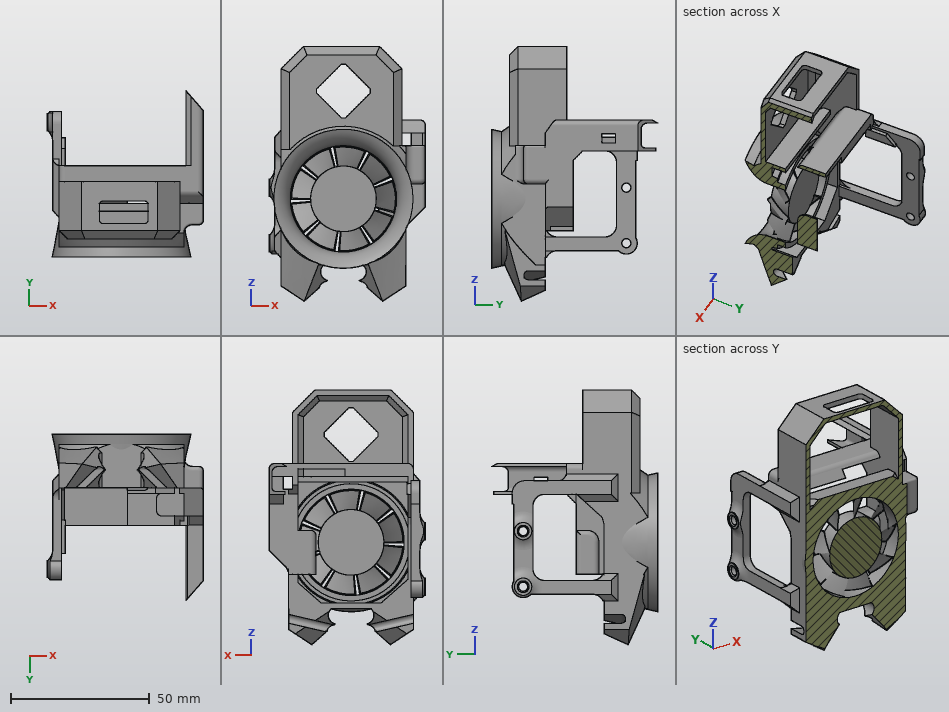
import cadquery as cq
import math


LEFT = -22.5
RIGHT = 22.6
SHROUD_RIGHT = 21.1
SHROUD_TOP = 55.0
SHROUD_FRONT = 6.4
SHROUD_BACK = 27.2
SHROUD_BOTTOM = 17.7
CORNER_CUT = 8.1
FRONT_BEVEL = 3.1
WALL = 2.0
BOX_BACK = 33.0
BOX_TOP = 28.5
BOX_BOTTOM = -23.9
LOWER_BACK = 19.4
WALL_STRAIGHT_TOP = 6.4
WALL_SLOPE_LOW = (20.1, 9.0)
WALL_SLOPE_HIGH = (BOX_BACK, 20.7)
RIGHT_WALL_TOP = 19.2
BEAM_FRONT = 19.3
BEAM_BOTTOM = 23.7
BEAM_BROW = (21.8, 27.1)
BEAM_CURVE = (22.4, 27.9)
BEAM_TOP_FRONT = 23.5
NOTCH_LEFT = 2.1
TOP_ROUND = 2.3
FRONT_WALL_BACK = 11.0

DIAMOND_Z = 38.9
DIAMOND_REACH = 9.65
DIAMOND_FLAT = 0.7
SLOT_LEFT = -8.0
SLOT_RIGHT = 9.65
SLOT_FRONT = 12.0
SLOT_BACK = 20.2
SLOT_ROUND = 1.5

RIM_RADIUS = 25.1
NECK_RADIUS = 24.3
NECK_Y = 3.7
SKIRT_RADIUS = 22.4
SKIRT_Y = 13.3
SKIRT_FLARE = 0.7
BORE_RADIUS = 38.2 / 2
BORE_FRONT = 9.1
TUBE_RADIUS = BORE_RADIUS + WALL
TUBE_BACK = 16.5

HUB_RADIUS = 11.9
BLADE_TIP_RADIUS = 18.75
BLADE_ROOT_RADIUS = 10.9
BLADE_COUNT = 9
BLADE_ANGLE = 1.5
BLADE_SWEEP = 34.8
BLADE_START = 20.0
ROTOR_DEPTH = 7.35

LEG_BEND_Z = -11.6
LEG_SHOULDER = (LEFT, 4.9, LEG_BEND_Z)
LEG_OUTER = (LEFT, 10.4, -31.4)
LEG_TIP = (-14.15, 10.75, -36.9)
LEG_CREASE = (-8.9, 4.6, -23.5)
LEG_INNER = (-5.7, 12.9, -29.4)
LEG_MIDDLE = (-14.7, 15.6, -26.65)
LEG_HOLLOW = (-8.2, -26.1)
LEG_HOLLOW_TOP = (-7.1, BOX_BOTTOM)
LEG_HEEL = (-20.1, LOWER_BACK, -33.0)
TIE_SLOT_FRONT = 11.7
TIE_SLOT_HEIGHT = 3.1
TIE_SLOT_Z = -27.6
TIE_SLOT_TILT = 13.0

FRAME_OUTER_X = -24.8
FRAME_INNER_X = -21.6
FRAME_BACK = 52.6
POST_BACK = 52.0
POST_FRONT = 45.0
UPPER_BAR = (17.3, 22.2)
LOWER_BAR = (-18.75, -13.7)
BAR_FRONT = 16.8
BAR_FLARE = 2.5
FLARE_BACK = 36.8
LOWER_COVE_BACK = 23.5
LOWER_COVE_HEIGHT = 4.6
LOWER_COVE_UNDER = (20.6, -20.0)
LOWER_COVE_OVER = (20.6, -12.4)
UPPER_COVE_BACK = 35.3
UPPER_COVE_MIDDLE = (33.6, 23.4)
CORNER_STEP_Z = 13.8
FRAME_ROUND = 4.6
WINDOW_ROUND = 4.1
RIB_INNER_X = -20.2
RIB_TOP = 21.1
RIB_BACK = 43.1
RIB_SLOPE_START = 39.15

BOSS_Y = 48.6
BOSS_ZS = (4.0, -16.0)
BOSS_FACE_X = -26.8
BOSS_RADIUS = 3.1
BOSS_FOOT_RADIUS = 7.0
BOSS_FOOT_CURVE = (-25.3, 4.9)
BOSS_NECK_X = -26.5
BOSS_HOLE = 3.2
BOSS_COUNTERSINK = 4.2
CORNER_PAD_RADIUS = 3.95

RAIL_RIGHT = 29.6
RAIL_LIP_X = 23.25
RAIL_LIP_TOP_X = 25.1
RAIL_LIP_BOTTOM = 27.3
RAIL_FLOOR_LIP_X = 23.9
RAIL_TIP_Y = 60.0
RAIL_END_Y = 52.75
RAIL_WEB_X = 28.5
RAIL_BOTTOM = 17.2
RAIL_FLOOR = 18.4
RAIL_ROUND = 2.1
RAIL_FLOOR_ROUND = 1.3
RAIL_ROOF_ROUND = 2.0
RAIL_WINDOW_Y = (39.8, 44.7)
RAIL_WINDOW_Z = (20.2, 23.4)
ARM_BACK = 29.5
ARM_INNER_X = 12.7
ARM_STEP_Z = 4.3
ARM_BOTTOM = -11.6
ARM_CUT_Z = -2.9
BRACKET_FRONT = 11.6
BRACKET_BOTTOM = 5.3
BRACKET_SWEEP = 2.9
BRACKET_EDGE_ROUND = 1.8
BRACKET_TOP_ROUND = 0.7
BRACKET_BOTTOM_ROUND = 1.7
ARM_ROUND = 1.3
WEB_X = 24.4
TONGUE_FRONT = 21.3
TONGUE_TOP_ROUND = 4.1
TONGUE_EDGE_ROUND = 1.8
GUSSET_SIZE = 3.3


def block(x_range, y_range, z_range):
    """Box between the given limits."""
    size = [high - low for low, high in (x_range, y_range, z_range)]
    return cq.Workplane("XY").box(*size, centered=False).translate((x_range[0], y_range[0], z_range[0]))


def prism_y(points, y_from, y_to):
    """Outline of (x, z) points extruded along Y."""
    outline = cq.Workplane("XZ", origin=(0, y_from, 0)).polyline(points).close()
    return outline.extrude(y_from - y_to)


def prism_x(points, x_from, x_to):
    """Outline of (y, z) points extruded along X."""
    outline = cq.Workplane("YZ", origin=(x_from, 0, 0)).polyline(points).close()
    return outline.extrude(x_to - x_from)


def cylinder_y(radius, y_from, y_to):
    return cq.Workplane("XZ", origin=(0, y_from, 0)).circle(radius).extrude(y_from - y_to)


def cut_outside(body, a, b, c, inside):
    """Remove what lies beyond the plane through a, b and c, on the side away from `inside`."""
    origin = cq.Vector(*a)
    along = cq.Vector(*b) - origin
    normal = along.cross(cq.Vector(*c) - origin)
    if normal.dot(cq.Vector(*inside) - origin) > 0:
        normal = normal * -1
    far = 91.9
    beyond = cq.Workplane(cq.Plane(origin, along, normal)).rect(2 * far, 2 * far).extrude(far)
    return body.cut(beyond)


def shroud_outline(inset, bottom):
    left, right, top = LEFT + inset, SHROUD_RIGHT - inset, SHROUD_TOP - inset
    cut = CORNER_CUT - inset * (2 - math.sqrt(2))
    return [
        (left, bottom),
        (left, top - cut),
        (left + cut, top),
        (right - cut, top),
        (right, top - cut),
        (right, bottom),
    ]


def make_shroud():
    """Five-sided hood, open at the back, with a bevelled front edge, a diamond window and a top slot."""
    hood = prism_y(shroud_outline(0, BOX_BOTTOM), SHROUD_FRONT, SHROUD_BACK)
    hood = hood.faces("<Y").edges("not <Z").chamfer(FRONT_BEVEL)
    hood = hood.intersect(block((LEFT, RIGHT), (0, BOX_BACK), (SHROUD_BOTTOM, SHROUD_TOP)))
    hollow = prism_y(shroud_outline(WALL, BOX_BOTTOM), SHROUD_FRONT + WALL, SHROUD_BACK)
    hollow = hollow.faces("<Y").edges("not <Z").chamfer(FRONT_BEVEL - WALL * (2 - math.sqrt(2)))
    hollow = hollow.intersect(hood)
    corner_points = []
    for x_sign, z_sign in ((1, 1), (-1, 1), (-1, -1), (1, -1)):
        side = (x_sign * DIAMOND_REACH, DIAMOND_Z + z_sign * DIAMOND_FLAT)
        end = (x_sign * DIAMOND_FLAT, DIAMOND_Z + z_sign * DIAMOND_REACH)
        corner_points += [side, end] if x_sign == z_sign else [end, side]
    diamond = prism_y(corner_points, 0, SHROUD_BACK)
    slot = block((SLOT_LEFT, SLOT_RIGHT), (SLOT_FRONT, SLOT_BACK), (DIAMOND_Z, SHROUD_TOP))
    slot = slot.edges("|Z").fillet(SLOT_ROUND)
    return hood.cut(hollow).cut(diamond).cut(slot)


def make_beam_front(x_from, x_to):
    """Front of the top beam: a leaning face that rounds over into the flat top."""
    side = (
        cq.Workplane("YZ", origin=(x_from, 0, 0))
        .moveTo(BEAM_TOP_FRONT, BEAM_BOTTOM)
        .lineTo(BEAM_FRONT, BEAM_BOTTOM)
        .lineTo(*BEAM_BROW)
        .threePointArc(BEAM_CURVE, (BEAM_TOP_FRONT, BOX_TOP))
        .close()
    )
    return side.extrude(x_to - x_from)


def make_box():
    """Open-backed box behind the fan, its side walls stepped back below, with a beam across the top."""
    side = [
        (NECK_Y, BOX_BOTTOM),
        (LOWER_BACK, BOX_BOTTOM),
        (LOWER_BACK, WALL_STRAIGHT_TOP),
        WALL_SLOPE_LOW,
        WALL_SLOPE_HIGH,
        (BOX_BACK, BOX_TOP),
        (NECK_Y, BOX_TOP),
    ]
    box = prism_x(side, LEFT, RIGHT)
    box = box.edges("|Y and >Z and <X").fillet(TOP_ROUND)
    inner_x = (LEFT + WALL, SHROUD_RIGHT - WALL)
    below_floor = block(inner_x, (FRONT_WALL_BACK, TUBE_BACK), (BOX_BOTTOM + WALL, BEAM_BOTTOM - WALL))
    behind_floor = block(inner_x, (TUBE_BACK, BOX_BACK), (BOX_BOTTOM + WALL, BEAM_BOTTOM))
    above_floor = block(inner_x, (SHROUD_FRONT, BEAM_TOP_FRONT), (BEAM_BOTTOM, BOX_TOP))
    right_notch = block((SHROUD_RIGHT, RIGHT), (NECK_Y, BOX_BACK), (RIGHT_WALL_TOP, BOX_TOP))
    box = box.cut(below_floor).cut(behind_floor).cut(above_floor).cut(right_notch)
    box = box.union(make_beam_front(inner_x[0], SHROUD_RIGHT))
    under_beam = block((NOTCH_LEFT, inner_x[1]), (TUBE_BACK, BOX_BACK), (BEAM_BOTTOM, BOX_TOP - WALL))
    box = box.cut(under_beam)
    flare_radius = NECK_RADIUS + SKIRT_FLARE * (BOX_BACK - NECK_Y)
    front_cone = (
        cq.Workplane("XY")
        .polyline([(0, NECK_Y), (NECK_RADIUS, NECK_Y), (flare_radius, BOX_BACK), (0, BOX_BACK)])
        .close()
        .revolve(360, (0, 0), (0, 1))
    )
    return box.intersect(front_cone)


def make_bell():
    """Flared intake rim with its skirt, and the tube around the rotor."""
    bell = (
        cq.Workplane("XY")
        .polyline([(0, 0), (RIM_RADIUS, 0), (NECK_RADIUS, NECK_Y), (SKIRT_RADIUS, SKIRT_Y), (0, SKIRT_Y)])
        .close()
        .revolve(360, (0, 0), (0, 1))
    )
    return bell.union(cylinder_y(TUBE_RADIUS, NECK_Y, TUBE_BACK))


def make_bore():
    """Straight fan bore whose front end widens in a round mouth."""
    mouth = (
        cq.Workplane("XY")
        .moveTo(0, BOX_BACK)
        .lineTo(BORE_RADIUS, BOX_BACK)
        .lineTo(BORE_RADIUS, BORE_FRONT)
        .tangentArcPoint((RIM_RADIUS, 0), relative=False)
        .lineTo(0, 0)
        .close()
    )
    return mouth.revolve(360, (0, 0), (0, 1))


def make_leg():
    """Left outlet leg: a block trimmed by its sloping front, inner and outlet faces."""
    outline = (
        cq.Workplane("XZ", origin=(0, NECK_Y, 0))
        .moveTo(LEFT, LEG_BEND_Z)
        .lineTo(LEFT, LEG_OUTER[2])
        .lineTo(LEG_TIP[0], LEG_TIP[2])
        .lineTo(LEG_INNER[0], LEG_INNER[2])
        .threePointArc(LEG_HOLLOW, LEG_HOLLOW_TOP)
        .lineTo(LEG_CREASE[0], LEG_CREASE[2])
        .close()
    )
    leg = outline.extrude(NECK_Y - LOWER_BACK)
    edges = ((LEG_SHOULDER, LEG_CREASE), (LEG_OUTER, LEG_TIP))
    ends = [
        cq.Wire.makePolygon(
            [cq.Vector(a[0], 0, a[2]), cq.Vector(*a), cq.Vector(*b), cq.Vector(b[0], 0, b[2])], close=True
        )
        for a, b in edges
    ]
    leg = leg.cut(cq.Workplane(cq.Solid.makeLoft(ends, True)))
    leg = cut_outside(leg, LEG_TIP, LEG_CREASE, LEG_INNER, LEG_MIDDLE)
    leg = cut_outside(leg, LEG_TIP, LEG_INNER, LEG_HEEL, LEG_MIDDLE)
    half_height = TIE_SLOT_HEIGHT / 2
    slot_end = TIE_SLOT_FRONT + half_height
    tie_slot = (
        cq.Workplane("YZ", origin=(LEFT - TIE_SLOT_HEIGHT, 0, TIE_SLOT_Z))
        .moveTo(LOWER_BACK, -half_height)
        .lineTo(slot_end, -half_height)
        .threePointArc((TIE_SLOT_FRONT, 0), (slot_end, half_height))
        .lineTo(LOWER_BACK, half_height)
        .close()
        .extrude(-LEFT)
        .rotate((LEFT, 0, TIE_SLOT_Z), (LEFT, 1, TIE_SLOT_Z), TIE_SLOT_TILT)
    )
    return leg.cut(tie_slot)


def flared_bar_end(z_range):
    """Bar root on the left wall: a tapered pad that widens from the bar to the wall."""
    low, high = z_range
    steps = []
    for x, grow in ((FRAME_OUTER_X, 0), (LEFT, BAR_FLARE)):
        front, back = BAR_FRONT - grow, FLARE_BACK
        steps.append(
            cq.Wire.makePolygon(
                [
                    cq.Vector(x, front, low - grow),
                    cq.Vector(x, back, low - grow),
                    cq.Vector(x, back, high + grow),
                    cq.Vector(x, front, high + grow),
                ],
                close=True,
            )
        )
    return cq.Workplane(cq.Solid.makeLoft(steps, True))


def make_bosses():
    """Screw bosses, each with a concave round foot."""
    profile = (
        cq.Workplane("XY")
        .moveTo(FRAME_OUTER_X, 0)
        .lineTo(FRAME_OUTER_X, BOSS_FOOT_RADIUS)
        .threePointArc(BOSS_FOOT_CURVE, (BOSS_NECK_X, BOSS_RADIUS))
        .lineTo(BOSS_FACE_X, BOSS_RADIUS)
        .lineTo(BOSS_FACE_X, 0)
        .close()
    )
    boss = profile.revolve(360, (0, 0), (1, 0)).translate((0, BOSS_Y, 0))
    upper_z, lower_z = BOSS_ZS
    return boss.translate((0, 0, upper_z)).union(boss.translate((0, 0, lower_z)))


def make_frame():
    """Rectangular mounting frame behind the left wall, with two screw bosses on its rear post."""
    bottom, top = LOWER_BAR[0], UPPER_BAR[1]
    plate = block((FRAME_OUTER_X, FRAME_INNER_X), (BAR_FRONT, POST_BACK), (bottom, top))
    top_corner = block((FRAME_OUTER_X, FRAME_INNER_X), (POST_FRONT, FRAME_BACK), (CORNER_STEP_Z, top))
    plate = plate.union(top_corner).edges("|X and >Y and >Z").fillet(FRAME_ROUND)
    window = block((FRAME_OUTER_X, FRAME_INNER_X), (0, POST_FRONT), (LOWER_BAR[1], UPPER_BAR[0]))
    window = window.edges("|X and >Y").fillet(WINDOW_ROUND)
    plate = plate.cut(window)
    corner_pad = (
        cq.Workplane("YZ", origin=(FRAME_OUTER_X, BOSS_Y, BOSS_ZS[1]))
        .circle(CORNER_PAD_RADIUS)
        .extrude(FRAME_INNER_X - FRAME_OUTER_X)
    )
    below_pad = block((FRAME_OUTER_X, FRAME_INNER_X), (BOSS_Y, FRAME_BACK), (bottom, BOSS_ZS[1]))
    plate = plate.cut(below_pad).union(corner_pad)
    above_plate = plate.translate((FRAME_OUTER_X - FRAME_INNER_X, 0, 0))
    frame = plate.union(make_bosses().intersect(above_plate))
    rib = prism_x(
        [
            (BOX_BACK - WALL, UPPER_BAR[0]),
            (RIB_BACK, UPPER_BAR[0]),
            (RIB_SLOPE_START, RIB_TOP),
            (BOX_BACK - WALL, RIB_TOP),
        ],
        FRAME_INNER_X,
        RIB_INNER_X,
    )
    frame = frame.union(rib)
    trim = (
        cq.Workplane("YZ", origin=(FRAME_OUTER_X, 0, 0))
        .moveTo(0, LOWER_BAR[0] - LOWER_COVE_HEIGHT)
        .lineTo(LOWER_BACK, LOWER_BAR[0] - LOWER_COVE_HEIGHT)
        .threePointArc(LOWER_COVE_UNDER, (LOWER_COVE_BACK, LOWER_BAR[0]))
        .lineTo(LOWER_COVE_BACK, LOWER_BAR[1])
        .threePointArc(LOWER_COVE_OVER, (LOWER_BACK, LOWER_BAR[1] + LOWER_COVE_HEIGHT))
        .lineTo(*WALL_SLOPE_LOW)
        .lineTo(*WALL_SLOPE_HIGH)
        .lineTo(UPPER_COVE_BACK, UPPER_BAR[1])
        .threePointArc(UPPER_COVE_MIDDLE, (BOX_BACK, UPPER_BAR[1] + BAR_FLARE))
        .lineTo(0, BOX_TOP)
        .close()
        .extrude(FRAME_INNER_X - FRAME_OUTER_X)
    )
    for bar in (UPPER_BAR, LOWER_BAR):
        frame = frame.union(flared_bar_end(bar).intersect(trim))
    return frame


def drill_bosses(body):
    for z in BOSS_ZS:
        face = cq.Workplane("YZ", origin=(BOSS_FACE_X, BOSS_Y, z))
        hole = face.circle(BOSS_HOLE / 2).extrude(FRAME_INNER_X - BOSS_FACE_X)
        depth = (BOSS_COUNTERSINK - BOSS_HOLE) / 2
        sink = cq.Solid.makeCone(
            BOSS_COUNTERSINK / 2, BOSS_HOLE / 2, depth, cq.Vector(BOSS_FACE_X, BOSS_Y, z), cq.Vector(1, 0, 0)
        )
        body = body.cut(hole).cut(cq.Workplane(sink))
    return body


def make_rail():
    """Channel along the right side, open to the inside and cut off at a slant at the back."""
    section = (
        cq.Workplane("XZ", origin=(0, BEAM_FRONT, 0))
        .moveTo(RAIL_LIP_X, RAIL_LIP_BOTTOM)
        .lineTo(RAIL_LIP_TOP_X, BOX_TOP)
        .lineTo(RAIL_RIGHT - RAIL_ROUND, BOX_TOP)
        .radiusArc((RAIL_RIGHT, BOX_TOP - RAIL_ROUND), RAIL_ROUND)
        .lineTo(RAIL_RIGHT, RAIL_BOTTOM)
        .lineTo(RAIL_FLOOR_LIP_X, RAIL_BOTTOM)
        .lineTo(RAIL_FLOOR_LIP_X, RAIL_FLOOR)
        .lineTo(RAIL_WEB_X - RAIL_FLOOR_ROUND, RAIL_FLOOR)
        .radiusArc((RAIL_WEB_X, RAIL_FLOOR + RAIL_FLOOR_ROUND), -RAIL_FLOOR_ROUND)
        .lineTo(RAIL_WEB_X, RAIL_LIP_BOTTOM - RAIL_ROOF_ROUND)
        .radiusArc((RAIL_WEB_X - RAIL_ROOF_ROUND, RAIL_LIP_BOTTOM), -RAIL_ROOF_ROUND)
        .close()
    )
    rail = section.extrude(BEAM_FRONT - RAIL_TIP_Y)
    slant = [(RAIL_RIGHT, RAIL_END_Y), (RAIL_LIP_X, RAIL_TIP_Y), (RAIL_RIGHT, RAIL_TIP_Y)]
    rail = rail.cut(cq.Workplane("XY").polyline(slant).close().extrude(BOX_TOP))
    ahead = block((SHROUD_RIGHT, RAIL_RIGHT), (BEAM_FRONT, BEAM_TOP_FRONT), (BEAM_BOTTOM, BOX_TOP))
    ahead = ahead.cut(make_beam_front(SHROUD_RIGHT, RAIL_RIGHT))
    joint = block((SHROUD_RIGHT, RAIL_RIGHT), (BEAM_FRONT, BOX_BACK), (BEAM_BOTTOM, BOX_TOP))
    joint = joint.edges("|Y and >X and >Z").fillet(RAIL_ROUND)
    window = block((RAIL_FLOOR_LIP_X, RAIL_RIGHT), RAIL_WINDOW_Y, RAIL_WINDOW_Z)
    return rail.union(joint).cut(ahead).cut(window)


def make_bracket():
    """Front bracket: its outline sweeps out of the box wall and rounds into the right side."""
    bracket = (
        cq.Workplane("XY", origin=(0, 0, BRACKET_BOTTOM))
        .moveTo(SHROUD_RIGHT - WALL, LOWER_BACK + ARM_ROUND)
        .lineTo(SHROUD_RIGHT - WALL, BRACKET_FRONT - BRACKET_SWEEP)
        .lineTo(RIGHT, BRACKET_FRONT - BRACKET_SWEEP)
        .radiusArc((RIGHT + BRACKET_SWEEP, BRACKET_FRONT), BRACKET_SWEEP)
        .lineTo(RAIL_RIGHT, BRACKET_FRONT)
        .lineTo(RAIL_RIGHT, LOWER_BACK + ARM_ROUND)
        .close()
        .extrude(RIGHT_WALL_TOP - BRACKET_BOTTOM)
    )
    corner = cq.selectors.NearestToPointSelector((RAIL_RIGHT, BRACKET_FRONT, RIGHT_WALL_TOP))
    bracket = bracket.edges("|Z").edges(corner).fillet(BRACKET_EDGE_ROUND)
    front_middle = (RIGHT + RAIL_RIGHT) / 2
    for z, radius in ((RIGHT_WALL_TOP, BRACKET_TOP_ROUND), (BRACKET_BOTTOM, BRACKET_BOTTOM_ROUND)):
        edge = cq.selectors.NearestToPointSelector((front_middle, BRACKET_FRONT, z))
        bracket = bracket.edges(edge).fillet(radius)
    return bracket


def make_arm():
    """Arm on the right side that carries the rail: upright, inward tongue and web up to the rail."""
    outline = [
        (SHROUD_RIGHT - WALL, ARM_BOTTOM),
        (RAIL_RIGHT + ARM_BOTTOM - ARM_CUT_Z, ARM_BOTTOM),
        (RAIL_RIGHT, ARM_CUT_Z),
        (RAIL_RIGHT, RIGHT_WALL_TOP),
        (SHROUD_RIGHT - WALL, RIGHT_WALL_TOP),
    ]
    arm = prism_y(outline, LOWER_BACK, ARM_BACK).edges("|Z and >X and <Y").fillet(ARM_ROUND)
    tongue = block((ARM_INNER_X, RIGHT), (TONGUE_FRONT, ARM_BACK), (ARM_BOTTOM, ARM_STEP_Z))
    tongue = tongue.edges("|X and <Y and >Z").fillet(TONGUE_TOP_ROUND)
    tongue = tongue.faces("<X").edges("not <Z").fillet(TONGUE_EDGE_ROUND)
    web = block((WEB_X, RAIL_RIGHT), (LOWER_BACK, ARM_BACK), (RAIL_BOTTOM, BEAM_BOTTOM))
    gusset = [
        (ARM_BACK, RAIL_BOTTOM - GUSSET_SIZE),
        (ARM_BACK + GUSSET_SIZE, RAIL_BOTTOM),
        (ARM_BACK, RAIL_BOTTOM),
    ]
    arm = arm.union(tongue).union(make_bracket()).union(web)
    return arm.union(prism_x(gusset, WEB_X, RAIL_RIGHT))


def make_housing():
    housing = make_box().union(make_shroud()).union(make_bell())
    leg = make_leg()
    housing = housing.union(leg).union(leg.mirror("YZ")).cut(make_bore())
    housing = housing.union(make_frame())
    housing = drill_bosses(housing)
    return housing.union(make_rail()).union(make_arm())


def make_rotor():
    """Hub with pitched blades."""
    rotor = cylinder_y(HUB_RADIUS, BORE_FRONT, BORE_FRONT + ROTOR_DEPTH)
    half_angle = math.radians(BLADE_ANGLE / 2)
    root_x, root_y = BLADE_ROOT_RADIUS * math.cos(half_angle), BLADE_ROOT_RADIUS * math.sin(half_angle)
    tip_x, tip_y = BLADE_TIP_RADIUS * math.cos(half_angle), BLADE_TIP_RADIUS * math.sin(half_angle)
    for index in range(BLADE_COUNT):
        blade = (
            cq.Workplane("XY")
            .moveTo(root_x, -root_y)
            .lineTo(tip_x, -tip_y)
            .threePointArc((BLADE_TIP_RADIUS, 0), (tip_x, tip_y))
            .lineTo(root_x, root_y)
            .close()
            .twistExtrude(ROTOR_DEPTH, BLADE_SWEEP)
            .rotate((0, 0, 0), (0, 0, 1), index * 360 / BLADE_COUNT - BLADE_START)
            .rotate((0, 0, 0), (1, 0, 0), -90)
            .translate((0, BORE_FRONT, 0))
        )
        rotor = rotor.union(blade)
    return rotor


housing = make_housing()
rotor = make_rotor()

result = cq.Compound.makeCompound([*housing.vals(), *rotor.vals()])